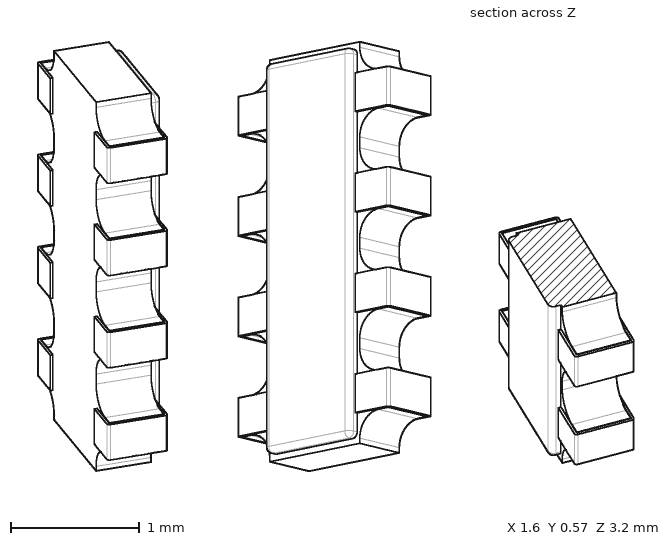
import cadquery as cq


length = 3.2
width = 1.6
depth = 0.57

terminals_per_side = 4
terminal_pitch = length / terminals_per_side
terminal_height = 0.307
terminal_plate = 0.022
front_pad_width = 0.3

body_width = width - 2 * terminal_plate
body_depth = 0.455
lobe_height = 0.317
notch_radius = 0.2
notch_height = terminal_pitch - lobe_height
notch_floor_x = 0.477

cover_width = 0.9
cover_length = 3.1
cover_fillet = 0.048

terminal_front_y = -depth / 2
body_front_y = terminal_front_y + terminal_plate
body_back_y = body_front_y + body_depth
body_middle_y = (body_front_y + body_back_y) / 2
terminal_back_y = body_back_y + terminal_plate
cover_back_y = depth / 2

SIDES = (-1, 1)


def box_between(x_range, y_range, z_range):
    """Axis-aligned box filling the given ranges."""
    corner = (x_range[0], y_range[0], z_range[0])
    size = (x_range[1] - x_range[0], y_range[1] - y_range[0], z_range[1] - z_range[0])
    return cq.Workplane("XY").box(*size, centered=False).translate(corner)


def make_notch(side, z):
    """Side notch open outwards, with two rounded inner corners."""
    notch_reach = width / 2
    inner_face = "<X" if side > 0 else ">X"
    return (
        cq.Workplane("XY")
        .box(notch_reach, body_depth, notch_height)
        .faces(inner_face)
        .edges("|Y")
        .fillet(notch_radius)
        .translate((side * (notch_floor_x + notch_reach / 2), body_middle_y, z))
    )


def make_body():
    """Ceramic block with notches between the lobes and half notches at both ends."""
    body = box_between(
        (-body_width / 2, body_width / 2),
        (body_front_y, body_back_y),
        (-length / 2, length / 2),
    )
    for side in SIDES:
        for index in range(terminals_per_side + 1):
            body = body.cut(make_notch(side, -length / 2 + index * terminal_pitch))
    return body


def make_cover():
    """Raised cover with rounded corners and a rounded back rim."""
    return (
        box_between(
            (-cover_width / 2, cover_width / 2),
            (body_back_y, cover_back_y),
            (-cover_length / 2, cover_length / 2),
        )
        .edges("|Y")
        .fillet(cover_fillet)
        .faces(">Y")
        .edges()
        .fillet(cover_fillet)
    )


def make_right_terminal():
    """C-shaped plating on the +X side: front pad, side wall and back strap up to the cover."""
    z_range = (-terminal_height / 2, terminal_height / 2)
    outer = box_between(
        (cover_width / 2, width / 2), (terminal_front_y, terminal_back_y), z_range
    )
    outer = outer.edges("|Z and >X").fillet(terminal_plate)
    inside = box_between((0, body_width / 2), (body_front_y, body_back_y), z_range)
    beyond_pad = box_between(
        (0, width / 2 - front_pad_width), (terminal_front_y, body_front_y), z_range
    )
    return outer.cut(inside).cut(beyond_pad)


result = make_body().union(make_cover())
right_terminal = make_right_terminal()
left_terminal = right_terminal.mirror("YZ")
for row in range(terminals_per_side):
    row_z = -length / 2 + (row + 0.5) * terminal_pitch
    for terminal in (left_terminal, right_terminal):
        result = result.union(terminal.translate((0, 0, row_z)))